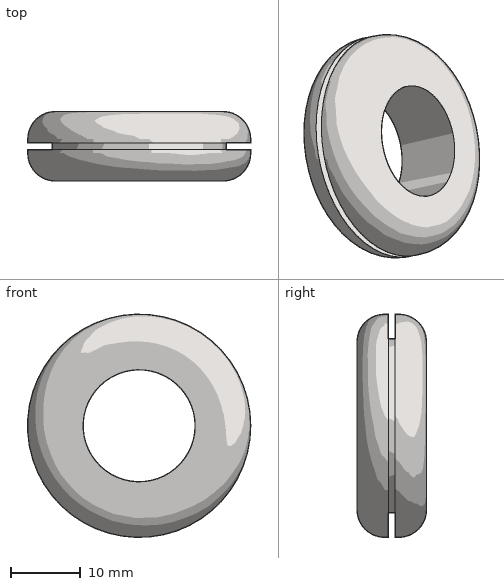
import cadquery as cq

outer_diameter = 32.0
bore_diameter = outer_diameter / 2
flat_face_diameter = 24.0
groove_diameter = 25.0
groove_width = 1.0
thickness = 10.0

edge_radius = (outer_diameter - flat_face_diameter) / 2


def cylinder(diameter, length):
    """Cylinder along Y, centred on the origin."""
    return cq.Workplane("XZ", origin=(0, length / 2, 0)).circle(diameter / 2).extrude(length)


body = cylinder(outer_diameter, thickness).edges("%CIRCLE").fillet(edge_radius)

groove = cylinder(outer_diameter, groove_width).cut(cylinder(groove_diameter, groove_width))

bore = cylinder(bore_diameter, thickness)

result = body.cut(groove).cut(bore)